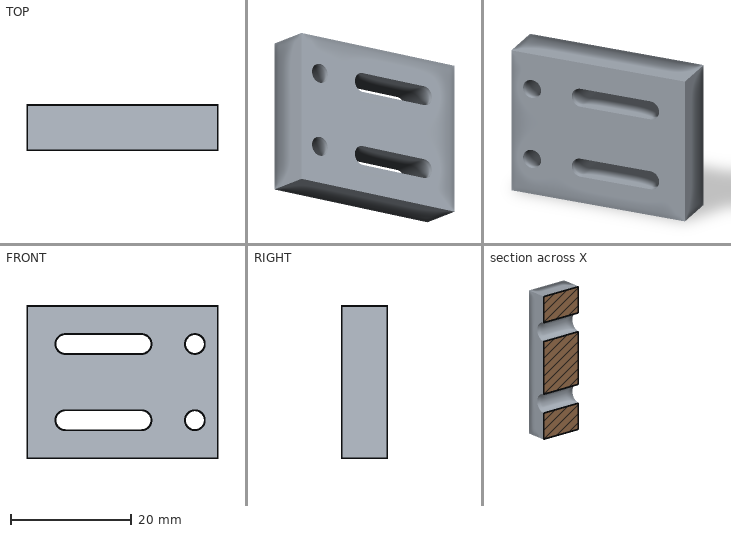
import cadquery as cq

LENGTH = 31.75
THICKNESS = 7.62
HEIGHT = 25.4

ROW_SPACING = HEIGHT / 2
ROW_HEIGHTS = [(HEIGHT - ROW_SPACING) / 2, (HEIGHT + ROW_SPACING) / 2]

CLEARANCE_DIAMETER = 3.27
SLOT_START_X = 6.35
SLOT_TRAVEL = 12.7
HOLE_X = 27.94


def make_plate():
    return cq.Workplane("XY").box(LENGTH, THICKNESS, HEIGHT, centered=False)


def through_slot(z):
    """Round-ended slot cutter spanning the plate thickness at height z."""
    slot_center_x = SLOT_START_X + SLOT_TRAVEL / 2
    return (
        cq.Workplane("XZ")
        .center(slot_center_x, z)
        .slot2D(SLOT_TRAVEL + CLEARANCE_DIAMETER, CLEARANCE_DIAMETER)
        .extrude(-THICKNESS)
    )


def through_hole(z):
    """Round hole cutter spanning the plate thickness at height z."""
    return (
        cq.Workplane("XZ")
        .center(HOLE_X, z)
        .circle(CLEARANCE_DIAMETER / 2)
        .extrude(-THICKNESS)
    )


result = make_plate()
for row_z in ROW_HEIGHTS:
    result = result.cut(through_slot(row_z)).cut(through_hole(row_z))